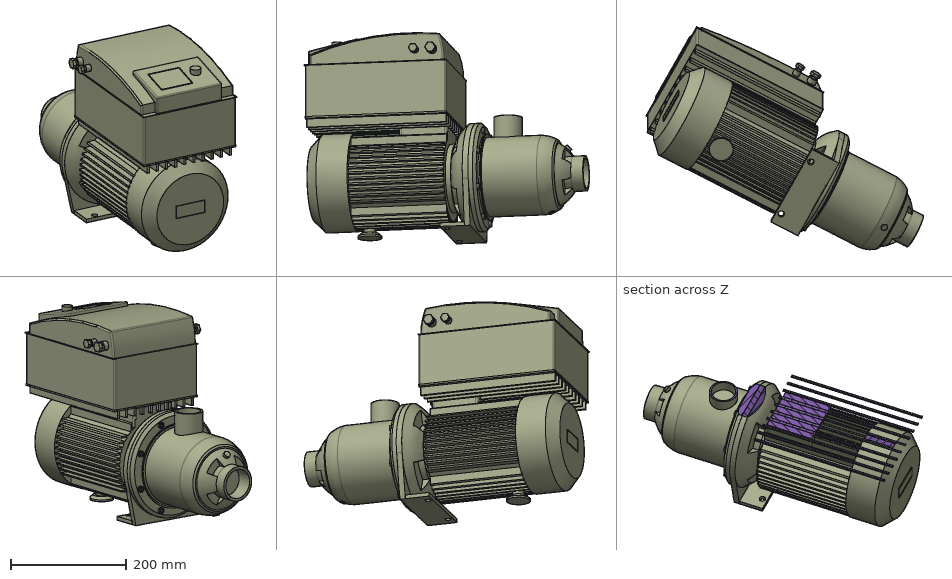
import cadquery as cq
import math

total_length = 483.0
base_z = -100.0

suction_radius = 31.0
suction_bore_radius = 26.0
suction_bore_depth = 29.5
suction_length = 21.3
nose_middle = (33.0, 44.5)
nose_end = 46.0
nose_end_radius = 54.5
nose_step_radius = 57.5
shoulder_start = 49.0
shoulder_radius = 61.0
shoulder_middle = (61.0, 66.5)
casing_radius = 69.5
casing_start = 74.5
collar_radius = 75.5
collar_start = 172.0
collar_step = 174.0
collar_gap_radius = 72.5
flange_start = 177.5
flange_radius = 94.5
flange_edge = 6.0
nose_pocket_floor = 34.5
pocket_half_angle = 20.0
outlet_x = 138.0
outlet_radius = 24.5
outlet_bore_radius = 21.0
outlet_top = 104.5
outlet_floor = 67.5
plug_radius = 6.0
plug_root = 7.2
vent_direction = (-1, 0, 1)
vent_height = 5.0
drain_direction = (-0.4, 0, -1)
drain_height = 1.5
screw_count = 8
screw_circle_radius = 82.5
screw_head_radius = 5.5
screw_socket_radius = 3.0
screw_socket_depth = 2.0

bracket_start = 191.0
bracket_thickness = 10.0
bracket_half_width = 75.5
bracket_foot_end = 244.5
bracket_foot_thickness = 7.0
bracket_hole_radius = 5.5
bracket_hole_x = 235.0
bracket_hole_y = 54.0

lantern_start = bracket_start + bracket_thickness
lantern_middle = (219.5, 76.5)
lantern_end = 228.5
lantern_end_radius = 58.0
lantern_pocket_floor = 215.5
lantern_core_radius = 55.0

spigot_radius = 60.0
motor_start = 237.5
motor_end = 406.5
motor_core_radius = 74.5
motor_fin_radius = 85.0
motor_fin_thickness = 3.0
motor_fin_pitch = 9.5
motor_fins_each_side = 5
pedestal_end = 323.5
pedestal_half_width = 42.5
pedestal_top = 95.0
pedestal_corner = 5.0

cover_radius = 86.0
cover_end = 481.5
cover_chamfer = 20.0
nameplate_width = 56.0
nameplate_height = 23.0

foot_x = 383.0
stem_radius = 10.5
stem_top = -82.0
pad_top = -92.0
pad_top_radius = 15.5
pad_rim_top = -96.5
pad_radius = 21.0

box_start = 230.5
box_end = 480.0
box_half_width = 91.5
box_bottom = 101.5
box_top = 193.0
box_edge_fillet = 3.0
rim_overhang = 1.5
rim_thickness = 1.0
sink_plate_thickness = 3.0
sink_fin_bottom = 84.0
sink_fin_count = 10
sink_fin_span = 163.3
sink_fin_thickness = 4.5
sink_fin_inset = 1.5
lid_start = 234.0
lid_front_middle = (236.0, 217.5)
lid_shoulder_x = 242.5
lid_shoulder_z = 240.0
lid_crown_x = 301.0
lid_crown_z = 243.5
lid_end = 471.5
lid_end_z = 211.5
gland_z = 212.5
gland_body_length = 9.5
gland_neck_length = 4.5
gland_tip_y = 111.0
gland_sizes = [
    (255.0, 16.5, 9.5, 18.5),
    (285.5, 12.5, 8.5, 15.5),
]
panel_start = 392.0
panel_start_z = 242.0
panel_end = 479.0
panel_end_z = 223.0
panel_front_foot_z = 222.0
panel_half_width = 64.5
panel_edge_fillet = 2.5
knob_x = 433.5
knob_y = 36.5
knob_radius = 9.0
knob_top = 241.5
display_start = 410.5
display_end = 459.5
display_near_y = -44.5
display_far_y = 17.0
display_depth = 1.5


def x_cylinder(radius, start, end):
    """Cylinder on the shaft axis between two X places."""
    return cq.Workplane("YZ", origin=(start, 0, 0)).circle(radius).extrude(end - start)


def block(x_range, y_range, z_range):
    """Box given by its lower and upper limits on each axis."""
    size = [high - low for low, high in (x_range, y_range, z_range)]
    corner = (x_range[0], y_range[0], z_range[0])
    return cq.Workplane("XY", origin=corner).box(*size, centered=False)


def ring_pockets(inner_radius, outer_radius, start, end):
    """Four ring sectors around the shaft, at 45 degrees to the Y and Z axes."""
    pockets = cq.Workplane("YZ")
    half = math.radians(pocket_half_angle)

    def at(radius, angle):
        return radius * math.cos(angle), radius * math.sin(angle)

    for quarter in range(4):
        middle = math.radians(45 + 90 * quarter)
        sector = (
            cq.Workplane("YZ", origin=(start, 0, 0))
            .moveTo(*at(inner_radius, middle - half))
            .lineTo(*at(outer_radius, middle - half))
            .threePointArc(at(outer_radius, middle), at(outer_radius, middle + half))
            .lineTo(*at(inner_radius, middle + half))
            .threePointArc(at(inner_radius, middle), at(inner_radius, middle - half))
            .close()
            .extrude(end - start)
        )
        pockets = pockets.add(sector)
    return pockets.combine()


def casing_plug(x, z, direction, height):
    """Round plug that stands out of the casing along a direction in the XZ plane."""
    plane = cq.Plane(origin=(x, 0, z), xDir=(0, 1, 0), normal=direction)
    root = cq.Workplane(plane).workplane(offset=-plug_root)
    return root.circle(plug_radius).extrude(plug_root + height)


def make_casing():
    casing = (
        cq.Workplane("XY")
        .moveTo(suction_length, 0)
        .lineTo(suction_length, suction_radius)
        .threePointArc(nose_middle, (nose_end, nose_end_radius))
        .lineTo(nose_end, nose_step_radius)
        .lineTo(shoulder_start, shoulder_radius)
        .threePointArc(shoulder_middle, (casing_start, casing_radius))
        .lineTo(collar_start, casing_radius)
        .lineTo(collar_start, collar_radius)
        .lineTo(collar_step, collar_radius)
        .lineTo(collar_step, collar_gap_radius)
        .lineTo(flange_start, collar_gap_radius)
        .lineTo(flange_start, flange_radius - flange_edge)
        .lineTo(flange_start + flange_edge, flange_radius)
        .lineTo(bracket_start, flange_radius)
        .lineTo(bracket_start, 0)
        .close()
        .revolve(360, (0, 0), (1, 0))
    )
    pockets = ring_pockets(suction_radius, casing_radius, suction_length, nose_pocket_floor)
    casing = casing.cut(pockets)
    casing = casing.union(x_cylinder(suction_radius, 0, nose_pocket_floor))
    vent_x, vent_z = nose_middle
    casing = casing.union(casing_plug(vent_x, vent_z, vent_direction, vent_height))
    drain_x, drain_radius = shoulder_middle
    casing = casing.union(casing_plug(drain_x, -drain_radius, drain_direction, drain_height))

    outlet = cq.Workplane("XY", origin=(outlet_x, 0, 0)).circle(outlet_radius).extrude(outlet_top)
    outlet_bore = (
        cq.Workplane("XY", origin=(outlet_x, 0, outlet_floor))
        .circle(outlet_bore_radius)
        .extrude(outlet_top - outlet_floor)
    )
    casing = casing.union(outlet).cut(outlet_bore)
    casing = casing.cut(x_cylinder(suction_bore_radius, 0, suction_bore_depth))

    screw_start = cq.Workplane("YZ", origin=(collar_step, 0, 0)).polarArray(
        screw_circle_radius, 180 / screw_count, 360, screw_count
    )
    heads = screw_start.circle(screw_head_radius).extrude(flange_start - collar_step)
    sockets = screw_start.circle(screw_socket_radius).extrude(screw_socket_depth)
    return casing.union(heads).cut(sockets)


def make_bracket(lantern):
    corner_distance = math.hypot(bracket_half_width, base_z)
    touch_angle = math.atan2(base_z, bracket_half_width) + math.acos(flange_radius / corner_distance)
    touch_y = flange_radius * math.cos(touch_angle)
    touch_z = flange_radius * math.sin(touch_angle)
    plate = (
        cq.Workplane("YZ", origin=(bracket_start, 0, 0))
        .moveTo(-bracket_half_width, base_z)
        .lineTo(bracket_half_width, base_z)
        .lineTo(touch_y, touch_z)
        .threePointArc((0, flange_radius), (-touch_y, touch_z))
        .close()
        .extrude(bracket_thickness)
    )
    foot = block(
        (bracket_start, bracket_foot_end),
        (-bracket_half_width, bracket_half_width),
        (base_z, base_z + bracket_foot_thickness),
    )
    holes = (
        cq.Workplane("XY", origin=(bracket_hole_x, 0, base_z))
        .pushPoints([(0, bracket_hole_y), (0, -bracket_hole_y)])
        .circle(bracket_hole_radius)
        .extrude(bracket_foot_thickness)
    )
    return plate.union(foot).cut(holes).cut(lantern)


def make_lantern():
    lantern = (
        cq.Workplane("XY")
        .moveTo(lantern_start, 0)
        .lineTo(lantern_start, flange_radius)
        .threePointArc(lantern_middle, (lantern_end, lantern_end_radius))
        .lineTo(lantern_end, 0)
        .close()
        .revolve(360, (0, 0), (1, 0))
    )
    pockets = ring_pockets(lantern_core_radius, flange_radius, lantern_pocket_floor, lantern_end)
    return lantern.cut(pockets)


def make_motor(heat_sink):
    motor = x_cylinder(motor_core_radius, motor_start, motor_end)
    reach = (-motor_fin_radius, motor_fin_radius)
    fins = cq.Workplane("XY")
    for index in range(-motor_fins_each_side, motor_fins_each_side + 1):
        middle = index * motor_fin_pitch
        thickness = (middle - motor_fin_thickness / 2, middle + motor_fin_thickness / 2)
        fins = fins.add(block((motor_start, motor_end), reach, thickness))
        fins = fins.add(block((motor_start, motor_end), thickness, reach))
    fins = fins.combine().intersect(x_cylinder(motor_fin_radius, motor_start, motor_end))
    pedestal = block(
        (motor_start, pedestal_end),
        (-pedestal_half_width, pedestal_half_width),
        (0, pedestal_top),
    ).edges("|Z").fillet(pedestal_corner)
    spigot = x_cylinder(spigot_radius, lantern_end, motor_start)
    return motor.union(fins).union(pedestal).union(spigot).cut(heat_sink)


def make_fan_cover():
    cover = x_cylinder(cover_radius, motor_end, cover_end).faces(">X").chamfer(cover_chamfer)
    nameplate = block(
        (cover_end, total_length),
        (-nameplate_width / 2, nameplate_width / 2),
        (-nameplate_height / 2, nameplate_height / 2),
    )
    return cover.union(nameplate)


def make_foot(motor):
    foot = (
        cq.Workplane("XZ", origin=(foot_x, 0, 0))
        .moveTo(0, base_z)
        .lineTo(pad_radius, base_z)
        .lineTo(pad_radius, pad_rim_top)
        .lineTo(pad_top_radius, pad_top)
        .lineTo(stem_radius, pad_top)
        .lineTo(stem_radius, stem_top)
        .lineTo(0, stem_top)
        .close()
        .revolve(360, (0, 0), (0, 1))
    )
    return foot.cut(motor)


def make_heat_sink():
    plate_bottom = box_bottom - sink_plate_thickness
    sink = block(
        (box_start, box_end), (-box_half_width, box_half_width), (plate_bottom, box_bottom)
    )
    fin_length = (box_start + sink_fin_inset, box_end - sink_fin_inset)
    for index in range(sink_fin_count):
        middle = index * sink_fin_span / (sink_fin_count - 1) - sink_fin_span / 2
        thickness = (middle - sink_fin_thickness / 2, middle + sink_fin_thickness / 2)
        sink = sink.union(block(fin_length, thickness, (sink_fin_bottom, plate_bottom)))
    return sink.cut(x_cylinder(cover_radius, motor_start, box_end))


def make_box():
    body = block((box_start, box_end), (-box_half_width, box_half_width), (box_bottom, box_top))
    body = body.edges("|Z").fillet(box_edge_fillet)
    rim_half_width = box_half_width + rim_overhang
    rim = block(
        (box_start, box_end + rim_overhang),
        (-rim_half_width, rim_half_width),
        (box_top - rim_thickness, box_top),
    )
    return body.union(rim)


def make_lid_shell():
    crown_drop = lid_crown_z - lid_end_z
    crown_radius = ((lid_end - lid_crown_x) ** 2 + crown_drop**2) / (2 * crown_drop)
    middle_x = (lid_crown_x + lid_end) / 2
    middle_drop = crown_radius - math.sqrt(crown_radius**2 - (middle_x - lid_crown_x) ** 2)
    shell = (
        cq.Workplane("XZ")
        .moveTo(lid_start, box_top)
        .threePointArc(lid_front_middle, (lid_shoulder_x, lid_shoulder_z))
        .threePointArc((middle_x, lid_crown_z - middle_drop), (lid_end, lid_end_z))
        .lineTo(lid_end, box_top)
        .close()
        .extrude(box_half_width, both=True)
    )
    shoulder = cq.NearestToPointSelector((lid_shoulder_x, 0, lid_shoulder_z))
    shell = shell.edges(shoulder).fillet(box_edge_fillet)
    side_edges = shell.faces("<Y or >Y").edges("not <Z")
    return side_edges.fillet(box_edge_fillet)


def make_gland(x, body_diameter, neck_diameter, hex_width, side):
    """Cable gland on one side of the lid: round body, neck and hexagon cap."""
    neck_start = box_half_width + gland_body_length
    cap_start = neck_start + gland_neck_length
    plane = cq.Plane(origin=(x, 0, gland_z), xDir=(1, 0, 0), normal=(0, side, 0))
    body = cq.Workplane(plane).workplane(offset=box_half_width).circle(body_diameter / 2)
    neck = cq.Workplane(plane).workplane(offset=neck_start).circle(neck_diameter / 2)
    cap = cq.Workplane(plane).workplane(offset=cap_start).polygon(6, hex_width)
    return (
        body.extrude(gland_body_length)
        .union(neck.extrude(gland_neck_length))
        .union(cap.extrude(gland_tip_y - cap_start))
    )


def make_lid(shell):
    lid = shell
    for sizes in gland_sizes:
        for side in (-1, 1):
            lid = lid.union(make_gland(*sizes, side))
    return lid


def make_panel(lid_shell):
    slope = (panel_start_z - panel_end_z) / (panel_end - panel_start)
    front_foot_x = panel_start - slope * (panel_start_z - panel_front_foot_z)
    panel = (
        cq.Workplane("XZ")
        .moveTo(panel_start, panel_start_z)
        .lineTo(panel_end, panel_end_z)
        .lineTo(panel_end, box_top)
        .lineTo(lid_end, box_top)
        .lineTo(front_foot_x, panel_front_foot_z)
        .close()
        .extrude(panel_half_width, both=True)
    )
    panel = panel.faces("<X or >X").edges("not |Y").fillet(panel_edge_fillet)
    panel = panel.faces(">Z").edges().fillet(panel_edge_fillet)

    tilted = cq.Plane(origin=(panel_start, 0, panel_start_z), xDir=(1, 0, -slope), normal=(slope, 0, 1))
    stretch = math.hypot(1, slope)
    display_middle_x = (display_start + display_end) / 2
    display = (
        cq.Workplane(tilted)
        .center((display_middle_x - panel_start) * stretch, (display_near_y + display_far_y) / 2)
        .rect((display_end - display_start) * stretch, display_far_y - display_near_y)
        .extrude(-display_depth)
    )
    knob_length = knob_top - panel_end_z
    knob_base = cq.Workplane("XY", origin=(knob_x, knob_y, panel_end_z))
    knob = knob_base.circle(knob_radius).extrude(knob_length)
    return panel.cut(display).union(knob).cut(lid_shell)


casing = make_casing()
lantern = make_lantern()
bracket = make_bracket(lantern)
heat_sink = make_heat_sink()
motor = make_motor(heat_sink)
fan_cover = make_fan_cover()
foot = make_foot(motor)
electronics_box = make_box()
lid_shell = make_lid_shell()
lid = make_lid(lid_shell)
panel = make_panel(lid_shell)

result = cq.Compound.makeCompound(
    [
        casing.val(),
        bracket.val(),
        lantern.val(),
        motor.val(),
        fan_cover.val(),
        foot.val(),
        heat_sink.val(),
        electronics_box.val(),
        lid.val(),
        panel.val(),
    ]
)